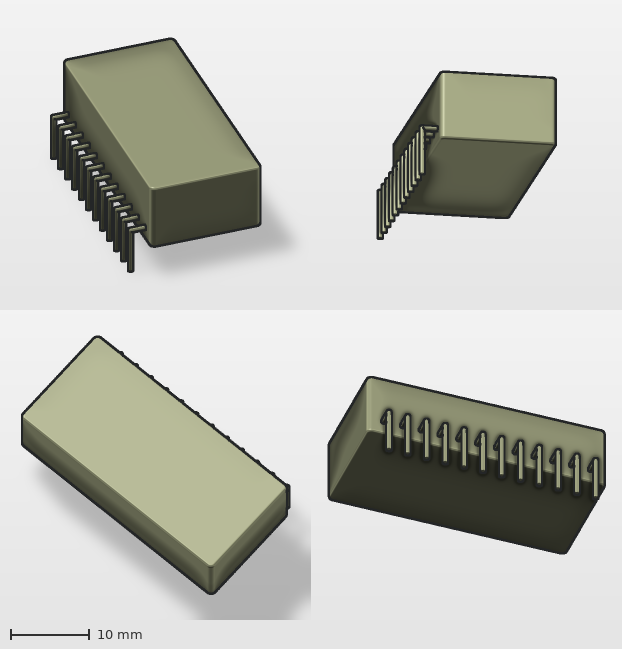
import cadquery as cq

body_length = 32.2
body_depth = 15.05
body_height = 9.0
corner_radius = 0.7
rim_radius = 0.35

pin_count = 12
pin_row_length = 27.95
pin_pitch = pin_row_length / (pin_count - 1)
pin_diameter = 0.7
pin_radius = pin_diameter / 2
pin_row_center = -0.03
pin_axis_height = 1.93
pin_tip_radius = 0.1
pin_reach = 2.32
pin_drop = 4.2

front_y = -body_depth / 2
leg_y = front_y - pin_reach + pin_radius


def make_body():
    block = cq.Workplane("XY").box(
        body_length, body_depth, body_height, centered=(True, True, False)
    )
    block = block.edges("|Z").fillet(corner_radius)
    return block.faces("<Z or >Z").edges().fillet(rim_radius)


def make_pin(x):
    """Horizontal lead and vertical leg, joined by a ball at the elbow."""
    elbow = cq.Vector(x, leg_y, pin_axis_height)
    lead_length = front_y + pin_diameter - leg_y
    leg_length = pin_axis_height + pin_drop
    lead = cq.Solid.makeCylinder(pin_radius, lead_length, elbow, cq.Vector(0, 1, 0))
    leg = cq.Solid.makeCylinder(pin_radius, leg_length, elbow, cq.Vector(0, 0, -1))
    rounded_leg = cq.Workplane(leg).faces("<Z").edges().fillet(pin_tip_radius)
    ball = cq.Workplane("XY").sphere(pin_radius).translate(elbow)
    return ball.union(cq.Workplane(lead)).union(rounded_leg)


result = make_body()
first_pin_x = pin_row_center - pin_row_length / 2
for index in range(pin_count):
    result = result.union(make_pin(first_pin_x + index * pin_pitch))